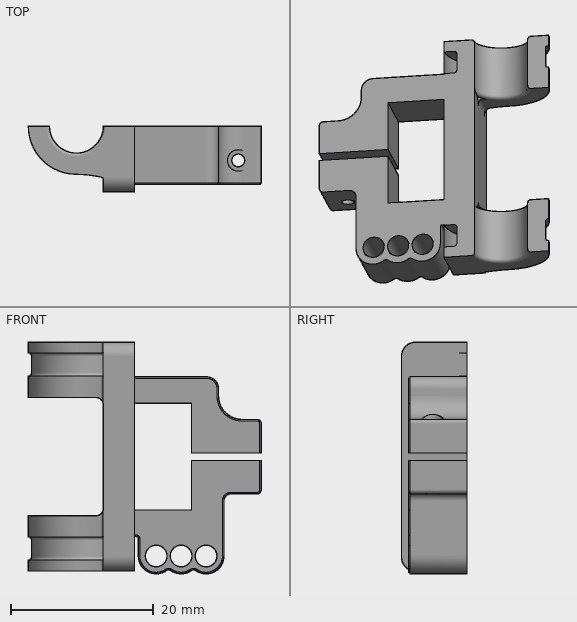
import cadquery as cq
import math

overall_length = 32.65

bore_radius = 3.75
hook_wall = 3.0
hook_radius = bore_radius + hook_wall
hook_height = 7.77
rim_fillet = 0.5
hook_side_fillet = 0.45
inside_fillet = 1.0
hook_flare_y = -7.12
groove_offset = 1.55
groove_width = 3.23
groove_depth = 0.45
channel_radius = 8.1

bar_left = bore_radius
bar_width = 4.4
bar_right = bar_left + bar_width
bar_depth = 9.2
half_bar = 16.03
bar_end_fillet = 2.0

clamp_depth = 8.2
clamp_end = overall_length - hook_radius
half_slit = 0.505
half_window = 7.45
half_clamp = 11.2
window_width = 7.95
window_right = bar_right + window_width
half_flange = 5.22
upper_wall = 19.92
lower_wall = 20.67
upper_corner_fillet = 1.7
upper_inner_fillet = 3.25
lower_inner_fillet = 0.98
flange_corner_fillet = 0.6
front_chamfer = 0.23

eye_radius = 2.5
eye_hole_diameter = 3.0
eye_pitch = 3.5
eye_count = 3
eye_z = -13.9
eye_root_fillet = 0.5
eye_top_fillet = 0.3
eye_xs = [lower_wall - eye_radius - i * eye_pitch for i in range(eye_count)]
eyes_left = min(eye_xs) - eye_radius

screw_x = 22.65
screw_y = -4.8
screw_diameter = 1.75
screw_head_diameter = 3.0


def block(x0, x1, z0, z1, depth):
    """Box from the back face (Y = 0) to the given depth."""
    return cq.Workplane("XY").box(x1 - x0, depth, z1 - z0, centered=False).translate((x0, -depth, z0))


def rod(x, z, diameter):
    """Cylinder along Y, as deep as the clamp."""
    return cq.Workplane("XZ").center(x, z).circle(diameter / 2).extrude(clamp_depth)


def edges_at(x, z):
    """Selector for the edge parallel to Y at the given X and Z."""
    reach = 0.015
    low = (x - reach, -bar_depth, z - reach)
    high = (x + reach, bar_depth, z + reach)
    return cq.selectors.BoxSelector(low, high)


def left_of_bar():
    """Room in front of the back face and left of the bar, larger than the hooks."""
    return block(bar_left - overall_length, bar_left, -half_bar, half_bar, 2 * bar_depth)


def make_bar():
    bar = block(bar_left, bar_right, -half_bar, half_bar, bar_depth)
    return bar.faces("<Y").edges("|X").fillet(bar_end_fillet)


def groove_ring(outer):
    """Ring around the hook up to the given radius, rounded where its flanks meet the floor."""
    inner = hook_radius - groove_depth
    top = half_bar - groove_offset
    bottom = top - groove_width
    section = (
        cq.Workplane("XZ")
        .moveTo(outer, bottom)
        .lineTo(hook_radius, bottom)
        .radiusArc((inner, bottom + groove_depth), groove_depth)
        .lineTo(inner, top - groove_depth)
        .radiusArc((hook_radius, top), groove_depth)
        .lineTo(outer, top)
        .close()
    )
    return section.revolve(360, (0, 0, 0), (0, 1, 0))


def make_groove_cutter():
    """Groove that clears all of the hook but only makes a curved channel inside the bar."""
    around_hook = groove_ring(hook_radius + bar_depth).intersect(left_of_bar())
    return around_hook.union(groove_ring(channel_radius))


def hook_prism(bottom, height):
    """Solid half disc of the hook, flared at the front to meet the bar."""
    foot_y = hook_flare_y - hook_side_fillet
    return (
        cq.Workplane("XY", origin=(0, 0, bottom))
        .moveTo(-hook_radius, 0)
        .radiusArc((0, -hook_radius), -hook_radius)
        .tangentArcPoint((bar_left - hook_side_fillet, hook_flare_y), relative=False)
        .radiusArc((bar_left, foot_y), hook_side_fillet)
        .lineTo(bar_left, 0)
        .close()
        .extrude(height)
    )


def make_inside_fillet():
    """Concave fillet between the bar and the inner side of the upper hook."""
    top = half_bar - hook_height
    strip = (
        cq.Workplane("XZ")
        .moveTo(bar_left, top)
        .lineTo(bar_left - inside_fillet, top)
        .radiusArc((bar_left, top - inside_fillet), inside_fillet)
        .close()
        .extrude(bar_depth)
    )
    return strip.intersect(hook_prism(top - inside_fillet, inside_fillet))


def make_upper_hook():
    hook = hook_prism(half_bar - hook_height, hook_height)
    return hook.union(make_inside_fillet())


def make_bore_cutter():
    """Bore of the upper hook, with a rounded outer rim and a flared inner rim that spares the bar."""
    top = half_bar
    bottom = half_bar - hook_height
    rim_radius = bore_radius + rim_fillet
    outer_section = (
        cq.Workplane("XZ")
        .moveTo(0, top)
        .lineTo(rim_radius, top)
        .radiusArc((bore_radius, top - rim_fillet), -rim_fillet)
        .lineTo(bore_radius, bottom)
        .lineTo(0, bottom)
        .close()
    )
    inner_section = (
        cq.Workplane("XZ")
        .moveTo(0, bottom + rim_fillet)
        .lineTo(bore_radius, bottom + rim_fillet)
        .radiusArc((rim_radius, bottom), -rim_fillet)
        .lineTo(bore_radius + inside_fillet, bottom - inside_fillet)
        .lineTo(0, bottom - inside_fillet)
        .close()
    )
    outer_part = outer_section.revolve(360, (0, 0, 0), (0, 1, 0))
    inner_part = inner_section.revolve(360, (0, 0, 0), (0, 1, 0))
    return outer_part.union(inner_part.intersect(left_of_bar()))


def make_clamp_body():
    """Outline of the clamp with rounded corners and a chamfered front, without openings."""
    body = block(bar_left, upper_wall, 0, half_clamp, clamp_depth)
    body = body.union(block(bar_left, lower_wall, -half_clamp, 0, clamp_depth))
    body = body.union(block(bar_left, clamp_end, -half_flange, half_flange, clamp_depth))
    body = body.union(block(eyes_left, lower_wall, eye_z, 0, clamp_depth))
    for x in eye_xs:
        body = body.union(rod(x, eye_z, 2 * eye_radius))

    body = body.edges(edges_at(upper_wall, half_clamp)).fillet(upper_corner_fillet)
    body = body.edges(edges_at(upper_wall, half_flange)).fillet(upper_inner_fillet)
    body = body.edges(edges_at(lower_wall, -half_flange)).fillet(lower_inner_fillet)
    for z in (-half_flange, half_flange):
        body = body.edges(edges_at(clamp_end, z)).fillet(flange_corner_fillet)
    body = body.edges(edges_at(eyes_left, -half_clamp)).fillet(eye_top_fillet)
    root_z = eye_z - math.sqrt(eye_radius**2 - (eye_pitch / 2) ** 2)
    for x in eye_xs[:-1]:
        body = body.edges(edges_at(x - eye_pitch / 2, root_z)).fillet(eye_root_fillet)
    return body.faces("<Y").edges().chamfer(front_chamfer)


def make_clamp():
    clamp = make_clamp_body()
    clamp = clamp.cut(block(bar_right, window_right, -half_window, half_window, clamp_depth))
    clamp = clamp.cut(block(bar_right, clamp_end, -half_slit, half_slit, clamp_depth))
    for x in eye_xs:
        clamp = clamp.cut(rod(x, eye_z, eye_hole_diameter))
    screw = cq.Workplane("XY").center(screw_x, screw_y)
    clamp = clamp.cut(screw.circle(screw_diameter / 2).extrude(half_clamp, both=True))
    head_seat = screw.workplane(offset=half_flange).circle(screw_head_diameter / 2).extrude(half_clamp)
    return clamp.cut(head_seat)


upper_hook = make_upper_hook()
hook_cutter = make_bore_cutter().union(make_groove_cutter())
result = make_bar().union(make_clamp())
result = result.union(upper_hook).union(upper_hook.mirror("XY"))
result = result.cut(hook_cutter).cut(hook_cutter.mirror("XY")).clean()